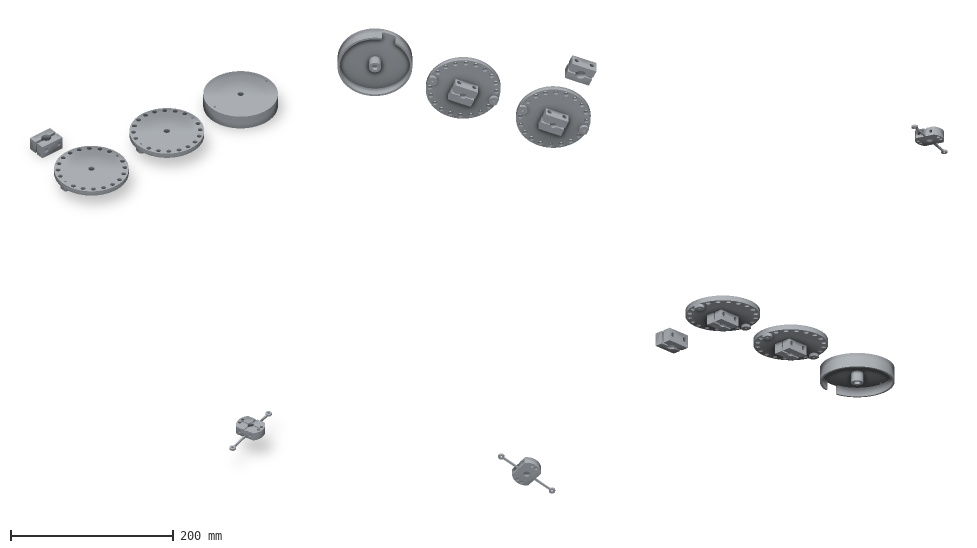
import cadquery as cq
import math


disc_diameter = 92.0
plate_thickness = 6.5
axle_diameter = 8.0
front_disc_y = 0.0
middle_disc_y = 120.0
cover_y = 238.0

ring_radius = 41.0
ring_hole_diameter = 6.0
ring_positions = 20
rim_screw_diameter = 2.7

pad_diameter = 12.5
pad_drop = 4.0

bolt_spacing = 20.0
bolt_diameter = 6.0
bolt_axis_z = -12.0

bracket_width = 24.0
bracket_length = 30.0
bracket_bottom_z = -19.5
bracket_slot = 2.5

cover_height = 18.0
cover_wall = 2.5
boss_diameter = 15.0
boss_bottom_z = -19.5
notch_width = 18.0

clamp_x = -87.5
clamp_width = 24.0
clamp_gap = 3.0
clamp_length = 32.0
clamp_height = 17.0
clamp_top_z = -4.0
clamp_bore = 12.5

hub_x = 536.0
hub_y = -187.0
hub_turn = 18.0
hub_diameter = 36.0
hub_flats = 26.0
hub_bottom_z = 0.3
hub_height = 11.0
hub_top_z = hub_bottom_z + hub_height
hub_bore = 8.0
hub_bolt_spacing = 16.0
hub_bolt_diameter = 4.25
groove_depth = 1.0
wide_groove = 2.5
narrow_groove = 1.0
rim_hole_diameter = 4.25
rim_hole_x = 14.0
rim_hole_y = 3.0

arm_width = 2.0
arm_thickness = 2.5
arm_reach = 41.0
arm_head_diameter = 8.0
arm_eye_diameter = 3.2


def cylinder(diameter, bottom_z, top_z, x=0.0, y=0.0):
    """Upright cylinder between two heights."""
    return cq.Workplane("XY", origin=(x, y, bottom_z)).circle(diameter / 2).extrude(top_z - bottom_z)


def block(x_size, y_size, bottom_z, top_z, x=0.0, y=0.0):
    """Box centred on (x, y) between two heights."""
    return cq.Workplane("XY", origin=(x, y, bottom_z)).rect(x_size, y_size).extrude(top_z - bottom_z)


def bolt_holes(x_span):
    """Pair of bolt holes along X, centred on the origin in plan."""
    return (
        cq.Workplane("YZ", origin=(-x_span / 2, 0, bolt_axis_z))
        .pushPoints([(-bolt_spacing / 2, 0), (bolt_spacing / 2, 0)])
        .circle(bolt_diameter / 2)
        .extrude(x_span)
    )


def rim_screws():
    """Pair of small screw holes on the Y axis, through the plate and the pads."""
    depth = plate_thickness + pad_drop
    return (
        cq.Workplane("XY", origin=(0, 0, -depth))
        .pushPoints([(0, -ring_radius), (0, ring_radius)])
        .circle(rim_screw_diameter / 2)
        .extrude(depth)
    )


def ring_holes():
    """Holes on the ring at every position that is off the Y axis."""
    step = 2 * math.pi / ring_positions
    angles = [i * step for i in range(ring_positions) if i % (ring_positions // 2) != ring_positions // 4]
    points = [(ring_radius * math.cos(a), ring_radius * math.sin(a)) for a in angles]
    return (
        cq.Workplane("XY", origin=(0, 0, -plate_thickness))
        .pushPoints(points)
        .circle(ring_hole_diameter / 2)
        .extrude(plate_thickness)
    )


def make_disc():
    """Disc with a ring of holes, two rim pads and a slotted bracket underneath."""
    pad_bottom_z = -plate_thickness - pad_drop
    pads = cylinder(pad_diameter, pad_bottom_z, -plate_thickness, y=ring_radius)
    pads = pads.union(cylinder(pad_diameter, pad_bottom_z, -plate_thickness, y=-ring_radius))
    pads = pads.intersect(cylinder(disc_diameter, pad_bottom_z, -plate_thickness))

    bracket = block(bracket_width, bracket_length, bracket_bottom_z, -plate_thickness)
    bracket = bracket.cut(block(bracket_slot, bracket_length, bracket_bottom_z, -plate_thickness))
    bracket = bracket.cut(bolt_holes(bracket_width))

    disc = cylinder(disc_diameter, -plate_thickness, 0).cut(ring_holes())
    disc = disc.union(pads).union(bracket).cut(rim_screws())
    return disc.cut(cylinder(axle_diameter, bracket_bottom_z, 0))


def make_cover():
    """Round cover, open below, with a bored central boss and a notch in its -X wall."""
    cover = cylinder(disc_diameter, -cover_height, 0)
    cover = cover.cut(cylinder(disc_diameter - 2 * cover_wall, -cover_height, -plate_thickness))
    notch_reach = disc_diameter / 2
    cover = cover.cut(block(notch_reach, notch_width, -cover_height, -plate_thickness, x=-notch_reach))
    cover = cover.union(cylinder(boss_diameter, boss_bottom_z, -plate_thickness))
    cover = cover.cut(cylinder(axle_diameter, boss_bottom_z, 0))
    return cover.cut(rim_screws())


def make_clamp_half(side):
    """One half of the clamp; side is -1 or +1 along X."""
    bottom_z = clamp_top_z - clamp_height
    half_width = (clamp_width - clamp_gap) / 2
    half = block(half_width, clamp_length, bottom_z, clamp_top_z, x=side * (clamp_gap + half_width) / 2)
    half = half.cut(cylinder(clamp_bore, bottom_z, clamp_top_z))
    half = half.cut(bolt_holes(clamp_width))
    return half.translate((clamp_x, 0, 0))


def place_on_hub(shape, side):
    """Turn a shape built along +Y to its side of the hub and move it there."""
    turn = hub_turn if side > 0 else hub_turn + 180
    return shape.rotate((0, 0, 0), (0, 0, 1), turn).translate((hub_x, hub_y, 0))


def make_arm():
    """Flat arm along +Y with a pierced round head, starting at the flat of the hub."""
    start = hub_flats / 2
    arm_top_z = hub_bottom_z + arm_thickness
    bar = block(arm_width, arm_reach - start, hub_bottom_z, arm_top_z, y=(arm_reach + start) / 2)
    arm = bar.union(cylinder(arm_head_diameter, hub_bottom_z, arm_top_z, y=arm_reach))
    return arm.cut(cylinder(arm_eye_diameter, hub_bottom_z, arm_top_z, y=arm_reach))


def make_hub():
    """Round hub with two flats, a bore, cross grooves on top, rim holes and two bolt holes."""
    hub = cylinder(hub_diameter, hub_bottom_z, hub_top_z)
    hub = hub.intersect(block(hub_diameter, hub_flats, hub_bottom_z, hub_top_z))
    hub = hub.cut(cylinder(hub_bore, hub_bottom_z, hub_top_z))

    groove_floor_z = hub_top_z - groove_depth
    hub = hub.cut(block(wide_groove, hub_flats, groove_floor_z, hub_top_z))
    hub = hub.cut(block(2 * rim_hole_x, narrow_groove, groove_floor_z, hub_top_z))

    rim_holes = (
        cq.Workplane("XY", origin=(0, 0, hub_bottom_z))
        .rect(2 * rim_hole_x, 2 * rim_hole_y, forConstruction=True)
        .vertices()
        .circle(rim_hole_diameter / 2)
        .extrude(hub_height)
    )
    bolts = (
        cq.Workplane("XZ", origin=(0, hub_flats / 2, hub_bottom_z + hub_height / 2))
        .pushPoints([(-hub_bolt_spacing / 2, 0), (hub_bolt_spacing / 2, 0)])
        .circle(hub_bolt_diameter / 2)
        .extrude(hub_flats)
    )
    return hub.cut(rim_holes).cut(bolts)


sides = (-1, 1)
discs = [make_disc().translate((0, y, 0)) for y in (front_disc_y, middle_disc_y)]
cover = make_cover().translate((0, cover_y, 0))
clamp_halves = [make_clamp_half(side) for side in sides]
hub = place_on_hub(make_hub(), 1)
arms = [place_on_hub(make_arm(), side) for side in sides]

bodies = [*discs, cover, *clamp_halves, hub, *arms]
result = cq.Compound.makeCompound([body.val() for body in bodies])